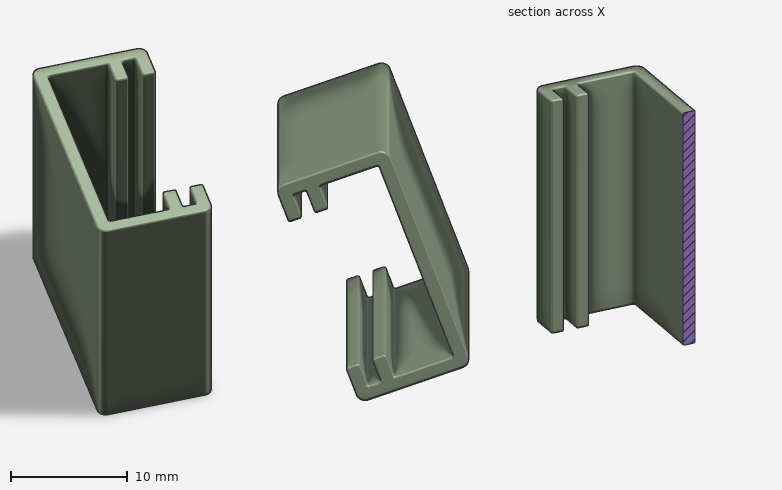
import cadquery as cq

width = 21.0
depth = 10.2
height = 22.0

wall = 1.2
lip_reach = 3.4
slot_gap = 1.2

outer_corner_radius = 0.8
small_radius = 0.2
end_edge_radius = 0.2

half_width = width / 2
half_depth = depth / 2
inner_x = half_width - wall
tip_x = half_width - lip_reach
slot_back_y = half_depth - wall
slot_front_y = slot_back_y - slot_gap
cavity_back_y = slot_front_y - wall
cavity_front_y = -half_depth + wall


def box_between(x_min, x_max, y_min, y_max):
    """Full-height block, centred on Z, spanning the given X and Y limits."""
    return (
        cq.Workplane("XY")
        .box(x_max - x_min, y_max - y_min, height)
        .translate(((x_min + x_max) / 2, (y_min + y_max) / 2, 0))
    )


def make_outer_block():
    """Solid block with the four outer corners rounded."""
    return box_between(-half_width, half_width, -half_depth, half_depth).edges("|Z").fillet(outer_corner_radius)


def cut_opening(body):
    """Remove the cavity, the gap between the lips and the two side slots."""
    cavity = box_between(-inner_x, inner_x, cavity_front_y, cavity_back_y)
    lip_gap = box_between(-tip_x, tip_x, cavity_front_y, half_depth)
    slots = box_between(-inner_x, inner_x, slot_front_y, slot_back_y)
    return body.cut(cavity.union(lip_gap).union(slots))


def round_inner_edges(body):
    """Round every upright edge at the inner corners and lip tips."""
    edge_places = [(inner_x, cavity_front_y)]
    for y in (cavity_back_y, slot_front_y, slot_back_y):
        edge_places.append((inner_x, y))
        edge_places.append((tip_x, y))
    edge_places.append((tip_x, half_depth))

    for side in (-1, 1):
        for x, y in edge_places:
            nearest_edge = cq.selectors.NearestToPointSelector((side * x, y, 0))
            body = body.edges("|Z").edges(nearest_edge).fillet(small_radius)
    return body


def round_end_rims(body):
    """Round the complete rim of the top and bottom end faces."""
    return body.faces("<Z or >Z").edges().fillet(end_edge_radius)


result = round_end_rims(round_inner_edges(cut_opening(make_outer_block())))